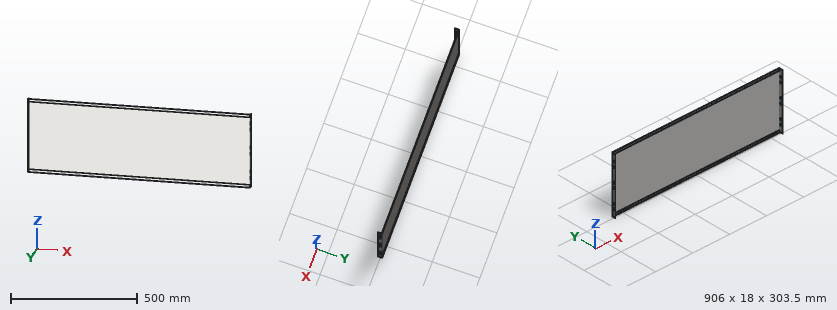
import cadquery as cq
import math

LENGTH = 906.0
DEPTH = 18.0
HEIGHT = 303.5
SHEET = 1.0

HEM_WIDTH = 12.0

FLANGE_SETBACK = 3.0

HOLE_DIAMETER = 11.0
PAIR_PITCH = 100.0
HOLE_SPACING = 25.0
PAIR_COUNT = 3

BACK_Y = DEPTH / 2
BEND_RADIUS = 2 * SHEET
PANEL_LENGTH = LENGTH - 2 * BEND_RADIUS
FLANGE_HEIGHT = HEIGHT - 2 * FLANGE_SETBACK


def block(length, depth, height, x, y_back, z):
    """Box centred on x and z, reaching forward from its back face."""
    return cq.Workplane("XY").box(length, depth, height).translate((x, y_back - depth / 2, z))


def make_panel():
    """Flat panel filling the space between the two end bends."""
    return block(PANEL_LENGTH, SHEET, HEIGHT, 0, BACK_Y, 0)


def make_hem(side):
    """Second sheet layer along the upper (+1) or lower (-1) edge."""
    z = side * (HEIGHT - HEM_WIDTH) / 2
    return block(PANEL_LENGTH, SHEET, HEM_WIDTH, 0, BACK_Y - SHEET, z)


def make_flange(side):
    """Rounded bend and forward-facing flange at the left (-1) or right (+1) end."""
    outer_x = side * LENGTH / 2
    inner_x = outer_x - side * SHEET
    bend_x = outer_x - side * BEND_RADIUS
    bend_y = BACK_Y - BEND_RADIUS
    inner_radius = BEND_RADIUS - SHEET
    diagonal = math.sqrt(0.5)
    outer_middle = (bend_x + side * BEND_RADIUS * diagonal, bend_y + BEND_RADIUS * diagonal)
    inner_middle = (bend_x + side * inner_radius * diagonal, bend_y + inner_radius * diagonal)
    return (
        cq.Workplane("XY")
        .workplane(offset=-FLANGE_HEIGHT / 2)
        .moveTo(bend_x, BACK_Y)
        .threePointArc(outer_middle, (outer_x, bend_y))
        .lineTo(outer_x, -BACK_Y)
        .lineTo(inner_x, -BACK_Y)
        .lineTo(inner_x, bend_y)
        .threePointArc(inner_middle, (bend_x, BACK_Y - SHEET))
        .close()
        .extrude(FLANGE_HEIGHT)
    )


def make_hole_cutters():
    """Rods along X at every hole position, long enough to pierce both flanges."""
    positions = []
    for pair in range(PAIR_COUNT):
        pair_z = (pair - (PAIR_COUNT - 1) / 2) * PAIR_PITCH
        for side in (-1, 1):
            positions.append((0, pair_z + side * HOLE_SPACING / 2))
    return (
        cq.Workplane("YZ")
        .pushPoints(positions)
        .circle(HOLE_DIAMETER / 2)
        .extrude(LENGTH, both=True)
    )


result = make_panel()
for end in (-1, 1):
    result = result.union(make_hem(end)).union(make_flange(end))
result = result.cut(make_hole_cutters())